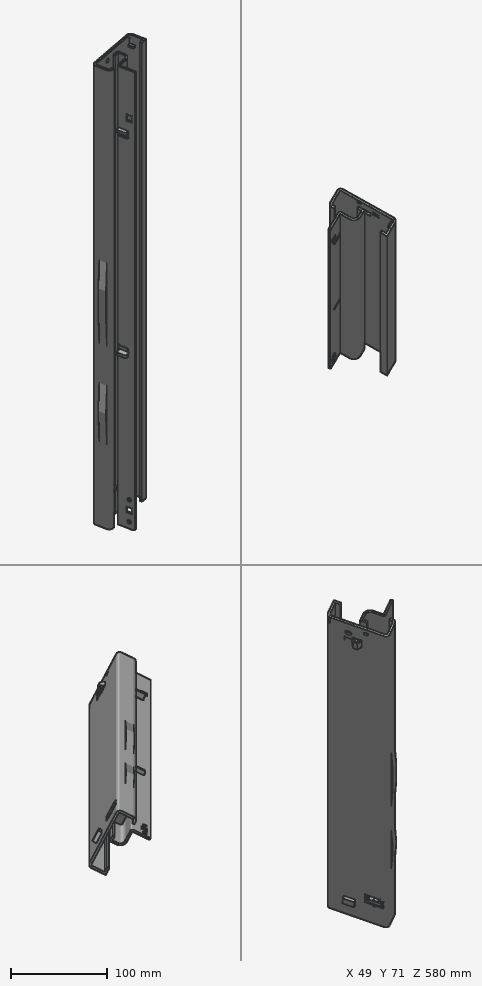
import cadquery as cq

LENGTH = 580.0

SHEET = 2.6
CHANNEL_DEPTH = 69.0
FLOOR_WIDTH = 22.5
FLOOR_LIP_TOP = 7.0
ROOF_WIDTH = 21.0
ROOF_LIP_BOTTOM = 61.0
CHANNEL_BEND = 4.35

RAIL_SHEET = 2.5
RAIL_END_GAP = 0.5
WALL_X = 22.0
HOOK_X = 8.0
HOOK_BOTTOM = 27.0
HOOK_TOP = 35.0
FLANGE_Y = 13.0
FLANGE_END = 44.5
FLANGE_CORNER = 2.5
HOOK_BEND = 8.0
FLANGE_BEND = RAIL_SHEET

PADS = [(284.0, 35.0), (144.5, 4.5)]
PAD_RAMP = 35.0
PAD_HEIGHT = 2.0
PAD_LEFT = 8.5
PAD_RIGHT = FLOOR_WIDTH - CHANNEL_BEND

CATCH_REACH = 4.5
PIN_HOLE_Y, PIN_HOLE_Z, PIN_HOLE_DIAMETER = 25.0, 571.5, 4.5
PEG_HOLE_Y, PEG_HOLE_Z, PEG_HOLE_DIAMETER = 44.5, 561.5, 7.0

BRIDGE_BOTTOM, BRIDGE_TOP = 543.0, 555.0
BRIDGE_Y, BRIDGE_WIDTH, BRIDGE_CREST = 35.0, 11.0, 4.5
BRIDGE_SHEET = 2.0
RECESS_LEFT, RECESS_RIGHT = 49.0, 40.5
RECESS_BOTTOM, RECESS_TOP = 545.0, 551.5
RECESS_DEPTH = 2.0

TONGUE_LEFT, TONGUE_RIGHT = 49.5, 36.5
TONGUE_BOTTOM, TONGUE_TOP = 24.5, 35.0
TONGUE_STEP = 3.5
TONGUE_LEDGE_BOTTOM = 31.0
TONGUE_TIP = 26.5

WINDOW_LEFT, WINDOW_RIGHT = 26.0, 5.0
WINDOW_BOTTOM, WINDOW_TOP = 36.5, 51.5
WINDOW_STEP_Y, WINDOW_STEP_Z = 9.0, 49.0
SHELF_LEFT, SHELF_RIGHT = 23.0, 8.5
SHELF_REACH = 16.0
SHELF_THICKNESS = 3.5
SHELF_TOP = 40.0
SHELF_CORNER = 2.0
SHELF_CHAMFER = 4.0
NOTCH_LEFT, NOTCH_RIGHT, NOTCH_BOTTOM = 18.0, 13.0, 33.5
NIB_END, NIB_HEIGHT = 8.0, 1.0

CORNER_SLOT_BOTTOM, CORNER_SLOT_TOP = 569.0, 576.0
CORNER_SLOT_DEPTH = 4.0
NUB_WIDTH, NUB_DROP = 6.5, 3.5
NUB_HEIGHT = 2.5

SQUARE_HOLE_X = 37.0
SQUARE_HOLES = [(519.0, 8.0), (24.0, 7.0)]
SQUARE_HOLE_WIDTH = 7.0
ROUND_HOLE_X = 37.5
ROUND_HOLE_HEIGHTS = (37.0, 9.0)
ROUND_HOLE_DIAMETER = 4.5

SLOT_LEFT = WALL_X + RAIL_SHEET
SLOT_END = 36.5
SLOT_CORNER = 2.5
SLOTS = [(492.5, 502.0, 499.5), (220.0, 228.0, 218.0)]
SLOT_TONGUE_THICKNESS = 3.5
SLOT_TONGUE_BOTTOM = 8.0
SLOT_TONGUE_CORNER = 2.5


def box(x0, x1, y0, y1, z0, z1):
    """Block between the given limits along each axis."""
    return cq.Workplane("XY").box(x1 - x0, y1 - y0, z1 - z0, centered=False).translate((x0, y0, z0))


def bent_sheet(outline, bends, bottom, top):
    """Extrude a sharp-cornered sheet outline along Z, then round each (x, y, radius) bend."""
    sheet = cq.Workplane("XY").workplane(offset=bottom).polyline(outline).close().extrude(top - bottom)
    middle = (bottom + top) / 2
    for x, y, radius in bends:
        sheet = sheet.edges(cq.NearestToPointSelector((x, y, middle))).fillet(radius)
    return sheet


def make_channel_profile():
    roof_inside = CHANNEL_DEPTH - SHEET
    floor_lip_inside = FLOOR_WIDTH - SHEET
    outline = [
        (ROOF_WIDTH, ROOF_LIP_BOTTOM),
        (ROOF_WIDTH, CHANNEL_DEPTH),
        (0, CHANNEL_DEPTH),
        (0, 0),
        (FLOOR_WIDTH, 0),
        (FLOOR_WIDTH, FLOOR_LIP_TOP),
        (floor_lip_inside, FLOOR_LIP_TOP),
        (floor_lip_inside, SHEET),
        (SHEET, SHEET),
        (SHEET, roof_inside),
        (ROOF_WIDTH - SHEET, roof_inside),
        (ROOF_WIDTH - SHEET, ROOF_LIP_BOTTOM),
    ]
    inner_bend = CHANNEL_BEND - SHEET
    bends = [
        (0, CHANNEL_DEPTH, CHANNEL_BEND),
        (0, 0, CHANNEL_BEND),
        (FLOOR_WIDTH, 0, CHANNEL_BEND),
        (floor_lip_inside, SHEET, inner_bend),
        (SHEET, SHEET, inner_bend),
        (SHEET, roof_inside, inner_bend),
    ]
    return bent_sheet(outline, bends, 0, LENGTH)


def make_pad(centre, crest):
    """Raised pad on the floor's outer face: a flat crest between two long ramps."""
    half_crest = crest / 2
    half_pad = half_crest + PAD_RAMP
    outline = [
        (0, centre - half_pad),
        (-PAD_HEIGHT, centre - half_crest),
        (-PAD_HEIGHT, centre + half_crest),
        (0, centre + half_pad),
    ]
    pad = cq.Workplane("YZ").workplane(offset=PAD_LEFT).polyline(outline).close()
    return pad.extrude(PAD_RIGHT - PAD_LEFT)


def web_hole(y, z, diameter):
    return cq.Workplane("YZ").center(y, z).circle(diameter / 2).extrude(SHEET)


def bridge_block(reach, width, crest):
    """Trapezoidal block that stands off the web's outer face over the height of the bridge."""
    outline = [
        (SHEET, BRIDGE_Y - width / 2),
        (0, BRIDGE_Y - width / 2),
        (-reach, BRIDGE_Y - crest / 2),
        (-reach, BRIDGE_Y + crest / 2),
        (0, BRIDGE_Y + width / 2),
        (SHEET, BRIDGE_Y + width / 2),
    ]
    block = cq.Workplane("XY").workplane(offset=BRIDGE_BOTTOM).polyline(outline).close()
    return block.extrude(BRIDGE_TOP - BRIDGE_BOTTOM)


def add_bridge(channel):
    """Upper catch: a bridge pressed out of the web, open above and below and hollow behind."""
    wall = 2 * BRIDGE_SHEET
    outside = bridge_block(CATCH_REACH, BRIDGE_WIDTH, BRIDGE_CREST)
    hollow = bridge_block(CATCH_REACH - BRIDGE_SHEET, BRIDGE_WIDTH - wall, BRIDGE_CREST - wall)
    return channel.union(outside).cut(hollow)


def make_recess():
    """Shallow ramped recess beside the bridge, deepest at its top."""
    outline = [(0, RECESS_BOTTOM), (RECESS_DEPTH, RECESS_TOP), (0, RECESS_TOP)]
    recess = cq.Workplane("XZ", origin=(0, RECESS_LEFT, 0)).polyline(outline).close()
    return recess.extrude(RECESS_LEFT - RECESS_RIGHT)


def make_tongue():
    """Lower catch: a ledge that leans out to a tip and returns to the web."""
    outline = [
        (0, TONGUE_TOP),
        (-TONGUE_STEP, TONGUE_TOP),
        (-TONGUE_STEP, TONGUE_LEDGE_BOTTOM),
        (-CATCH_REACH, TONGUE_TIP),
        (0, TONGUE_BOTTOM),
    ]
    tongue = cq.Workplane("XZ", origin=(0, TONGUE_LEFT, 0)).polyline(outline).close()
    return tongue.extrude(TONGUE_LEFT - TONGUE_RIGHT)


def make_window():
    """Opening through the web: stepped at one upper corner and notched in its lower edge."""
    outline = [
        (WINDOW_LEFT, WINDOW_BOTTOM),
        (WINDOW_LEFT, WINDOW_TOP),
        (WINDOW_STEP_Y, WINDOW_TOP),
        (WINDOW_STEP_Y, WINDOW_STEP_Z),
        (WINDOW_RIGHT, WINDOW_STEP_Z),
        (WINDOW_RIGHT, WINDOW_BOTTOM),
        (NOTCH_RIGHT, WINDOW_BOTTOM),
        ((NOTCH_LEFT + NOTCH_RIGHT) / 2, NOTCH_BOTTOM),
        (NOTCH_LEFT, WINDOW_BOTTOM),
    ]
    return cq.Workplane("YZ").polyline(outline).close().extrude(SHEET)


def make_shelf():
    """Shelf bent inward from the window's lower edge: it ramps up behind the web, then runs level."""
    shelf_bottom = SHELF_TOP - SHELF_THICKNESS
    outline = [
        (SHEET / 2, WINDOW_BOTTOM - SHELF_THICKNESS),
        (SHEET / 2, WINDOW_BOTTOM),
        (SHEET, SHELF_TOP),
        (SHELF_REACH, SHELF_TOP),
        (SHELF_REACH, shelf_bottom),
        (SHEET, shelf_bottom - SHELF_THICKNESS),
    ]
    shelf = cq.Workplane("XZ", origin=(0, SHELF_LEFT, 0)).polyline(outline).close()
    shelf = shelf.extrude(SHELF_LEFT - SHELF_RIGHT)
    shelf = shelf.edges("|Z and >X and >Y").fillet(SHELF_CORNER)
    shelf = shelf.edges("|Z and >X and <Y").chamfer(SHELF_CHAMFER)
    nib = box(SHEET, NIB_END, NOTCH_RIGHT, NOTCH_LEFT, shelf_bottom, SHELF_TOP + NIB_HEIGHT)
    return shelf.union(nib)


def make_channel():
    channel = make_channel_profile()
    for centre, crest in PADS:
        channel = channel.union(make_pad(centre, crest))

    channel = channel.cut(web_hole(PIN_HOLE_Y, PIN_HOLE_Z, PIN_HOLE_DIAMETER))
    channel = channel.cut(web_hole(PEG_HOLE_Y, PEG_HOLE_Z, PEG_HOLE_DIAMETER))
    channel = add_bridge(channel).cut(make_recess())
    channel = channel.union(make_tongue())
    channel = channel.cut(make_window()).union(make_shelf())

    roof_inside = CHANNEL_DEPTH - SHEET
    slot_floor = CHANNEL_DEPTH - CORNER_SLOT_DEPTH
    slot = box(0, SHEET, slot_floor, CHANNEL_DEPTH, CORNER_SLOT_BOTTOM, CORNER_SLOT_TOP)
    nub_bottom = CORNER_SLOT_BOTTOM - NUB_HEIGHT
    nub = box(
        SHEET / 2, SHEET + NUB_WIDTH, roof_inside - NUB_DROP, roof_inside,
        nub_bottom, CORNER_SLOT_BOTTOM,
    )
    return channel.cut(slot).union(nub)


def make_rail_profile():
    wall_outside = WALL_X + RAIL_SHEET
    hook_inside = HOOK_TOP - RAIL_SHEET
    outline = [
        (HOOK_X, HOOK_BOTTOM),
        (HOOK_X, HOOK_TOP),
        (wall_outside, HOOK_TOP),
        (wall_outside, FLANGE_Y + RAIL_SHEET),
        (FLANGE_END, FLANGE_Y + RAIL_SHEET),
        (FLANGE_END, FLANGE_Y),
        (WALL_X, FLANGE_Y),
        (WALL_X, hook_inside),
        (HOOK_X + RAIL_SHEET, hook_inside),
        (HOOK_X + RAIL_SHEET, HOOK_BOTTOM),
    ]
    bends = [
        (wall_outside, HOOK_TOP, HOOK_BEND),
        (WALL_X, hook_inside, HOOK_BEND - RAIL_SHEET),
        (WALL_X, FLANGE_Y, FLANGE_BEND),
    ]
    rail = bent_sheet(outline, bends, RAIL_END_GAP, LENGTH)
    return rail.edges("|Y and >X").fillet(FLANGE_CORNER)


def flange_box(x0, x1, z0, z1):
    """Cutter through the thickness of the flange."""
    return box(x0, x1, FLANGE_Y, FLANGE_Y + RAIL_SHEET, z0, z1)


def make_rail():
    rail = make_rail_profile()
    half_width = SQUARE_HOLE_WIDTH / 2
    for centre, height in SQUARE_HOLES:
        rail = rail.cut(flange_box(
            SQUARE_HOLE_X - half_width, SQUARE_HOLE_X + half_width, centre - height / 2, centre + height / 2
        ))
    for centre in ROUND_HOLE_HEIGHTS:
        hole = cq.Workplane("XZ", origin=(ROUND_HOLE_X, FLANGE_Y + RAIL_SHEET, centre))
        rail = rail.cut(hole.circle(ROUND_HOLE_DIAMETER / 2).extrude(RAIL_SHEET))
    for bottom, top, tongue_bottom in SLOTS:
        slot = flange_box(SLOT_LEFT, SLOT_END, bottom, top).edges("|Y and >X").fillet(SLOT_CORNER)
        tongue = box(
            SLOT_LEFT, SLOT_END, SLOT_TONGUE_BOTTOM, FLANGE_Y + RAIL_SHEET,
            tongue_bottom, tongue_bottom + SLOT_TONGUE_THICKNESS,
        )
        tongue = tongue.edges("|Z and <Y").fillet(SLOT_TONGUE_CORNER)
        rail = rail.cut(slot).union(tongue)
    return rail


channel = make_channel()
rail = make_rail()

result = cq.Compound.makeCompound([channel.val(), rail.val()])